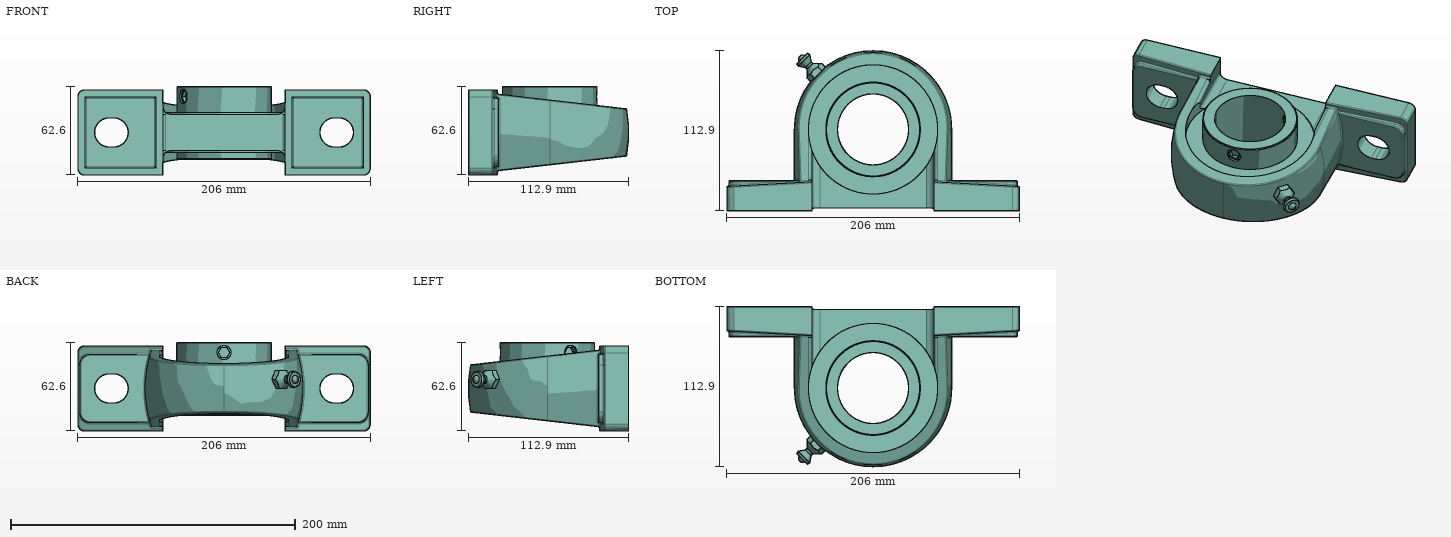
import cadquery as cq
import math

length = 206.0
axis_height = 57.3

foot_width = 60.2
foot_inner = 43.0
foot_outer = length / 2
foot_tip_height = 17.0
foot_root_height = 20.4
foot_corner_radius = 5.0
foot_edge_fillet = 0.8
foot_wall = 5.0
recess_depth = 8.2
recess_fillet = 1.0
bolt_offset = 79.3
bolt_slot_length = 23.5
bolt_slot_width = 20.4
pad_top = 21.2
pad_tip_gap = 1.5
pad_width = 48.2
pad_corner_radius = 7.5

crown_radius = 55.6
crown_arc = 86.5
top_half_width = 16.5
side_slope = math.radians(6.5)
rim_edge_fillet = 0.8
rim_foot_fillet = 1.2
pad_joint_fillet = 1.0
web_half_width = 12.8
web_bottom = 1.9
web_foot_fillet = 1.6
cavity_radius = 45.5
cavity_floor_fillet = 5.5
cavity_rim_round = cavity_radius - foot_inner

seal_half_width = 14.0
ring_radius = 33.4
bore_radius = 25.0
ring_top = 32.5
ring_bottom = -19.0
ring_chamfer = 0.6

screw_diameter = 9.9
screw_height = 25.3
screw_sink = 1.6
screw_end_gap = 0.2
socket_flats = 7.0
socket_depth = 2.5
screw_angles = (90, 210)

nipple_angle = 135
nipple_height = 6.4
hex_flats = 12.8
nipple_root = 49.5
hex_shoulder = 58.3
neck_radius = 2.99
neck_start = 62.8
neck_end = 64.5
flange_start = 68.8
flange_radius = 5.87
face_start = 70.7
face_radius = 5.4
dome_radius = 2.9
nipple_tip = 73.0

housing_top = axis_height + crown_radius
base_half_width = top_half_width + housing_top * math.tan(side_slope)
diagonal = math.sqrt(0.5)


def box(x_range, y_range, z_range):
    """Box spanning the given coordinate ranges."""
    starts, ends = zip(x_range, y_range, z_range)
    size = [end - start for start, end in zip(starts, ends)]
    return cq.Workplane("XY").box(*size, centered=False).translate(starts)


def symmetric(half_size):
    return (-half_size, half_size)


def crown_profile():
    """Half section of the crowned outer surface, from the axis out to the crown."""
    edge_drop = crown_arc - math.sqrt(crown_arc**2 - base_half_width**2)
    edge_radius = crown_radius - edge_drop
    return (
        cq.Workplane("XZ")
        .moveTo(0, -base_half_width)
        .lineTo(edge_radius, -base_half_width)
        .threePointArc((crown_radius, 0), (edge_radius, base_half_width))
        .lineTo(0, base_half_width)
        .close()
    )


def make_housing():
    """Arched body with a crowned rim, tapering in width towards the top."""
    above_axis = box(symmetric(length), (axis_height, length), symmetric(length))
    arch = crown_profile().revolve(360, (0, 0), (0, 1)).translate((0, axis_height, 0))
    leg = crown_profile().extrude(web_bottom - axis_height).translate((0, web_bottom, 0))
    taper = (
        cq.Workplane("YZ")
        .moveTo(0, -base_half_width)
        .lineTo(housing_top, -top_half_width)
        .lineTo(housing_top, top_half_width)
        .lineTo(0, base_half_width)
        .close()
        .extrude(length, both=True)
    )
    body = arch.intersect(above_axis).union(leg).union(leg.mirror("YZ")).intersect(taper)
    rim_edges = body.clean().faces(">Z or <Z").edges("not(<Y)")
    return rim_edges.fillet(rim_edge_fillet)


def make_straight_cavity():
    """Cavity in the +Z side from the base up to the bearing axis, flush with the foot walls."""
    return (
        box(symmetric(foot_inner), (0, axis_height), (web_half_width, foot_width))
        .edges("|Y and <Z")
        .fillet(cavity_floor_fillet)
    )


def make_cavity_rim_round():
    """Cutter rounding the upper edge of the right cavity wall above the foot."""
    start_height = foot_root_height + rim_foot_fillet
    half_width = base_half_width - start_height * math.tan(side_slope)
    plane = cq.Plane(
        origin=(foot_inner, start_height, half_width),
        xDir=(1, 0, 0),
        normal=(0, math.cos(side_slope), -math.sin(side_slope)),
    )
    radius = cavity_rim_round
    inset = radius * (1 - diagonal)
    return (
        cq.Workplane(plane)
        .lineTo(radius, 0)
        .threePointArc((inset, inset), (0, radius))
        .close()
        .extrude((axis_height - start_height) / math.cos(side_slope))
    )


def make_foot():
    """Right foot block with a sloping top."""
    return (
        cq.Workplane("XY", origin=(0, 0, -foot_width / 2))
        .moveTo(foot_inner, 0)
        .lineTo(foot_outer, 0)
        .lineTo(foot_outer, foot_tip_height)
        .lineTo(foot_inner, foot_root_height)
        .close()
        .extrude(foot_width)
        .edges(">X and |Y")
        .fillet(foot_corner_radius)
        .faces(">Y")
        .edges("not(<X)")
        .fillet(foot_edge_fillet)
    )


def make_pad():
    """Raised level pad on top of the right foot."""
    return (
        box((foot_inner, foot_outer - pad_tip_gap), (recess_depth, pad_top), symmetric(pad_width / 2))
        .edges(">X and |Y")
        .fillet(pad_corner_radius)
        .faces(">Y")
        .edges("not(<X)")
        .fillet(foot_edge_fillet)
    )


def make_foot_openings():
    """Recess under the right foot and the bolt slot through it."""
    recess = (
        box(
            (foot_inner + foot_wall, foot_outer - foot_wall),
            (0, recess_depth),
            symmetric(foot_width / 2 - foot_wall),
        )
        .faces(">Y")
        .edges()
        .fillet(recess_fillet)
    )
    bolt_slot = (
        cq.Workplane("XZ", origin=(bolt_offset, 0, 0))
        .slot2D(bolt_slot_length, bolt_slot_width)
        .extrude(-pad_top)
    )
    return recess.union(bolt_slot)


def make_web_blend():
    """Concave blend between the web underside and the inner face of the right foot."""
    radius = web_foot_fillet
    inset = radius * (1 - diagonal)
    return (
        cq.Workplane("XY", origin=(foot_inner, web_bottom, -web_half_width))
        .lineTo(-radius, 0)
        .threePointArc((-inset, -inset), (0, -radius))
        .close()
        .extrude(2 * web_half_width)
    )


def fillet_rim_to_foot(body):
    """Fillet where the outer rim meets the sloping top of the right foot."""
    joint = box(
        (foot_inner + rim_edge_fillet, crown_radius),
        (foot_tip_height, foot_root_height),
        symmetric(base_half_width),
    )
    edges = body.edges().filter(lambda edge: joint.val().isInside(edge.Center()))
    return edges.fillet(rim_foot_fillet)


def fillet_rim_to_pad(body):
    """Fillet where the outer rim meets the flat top of the right pad."""
    pad_face = body.faces(cq.selectors.NearestToPointSelector((bolt_offset, pad_top, pad_width / 2)))
    return pad_face.edges("<X").fillet(pad_joint_fillet)


def make_casting():
    """Housing and feet, worked out on the right half and mirrored."""
    straight_cavity = make_straight_cavity()
    rim_round = make_cavity_rim_round()
    round_cavity = (
        cq.Workplane("XY", origin=(0, axis_height, web_half_width))
        .circle(cavity_radius)
        .extrude(foot_width)
    )
    body = make_housing().cut(straight_cavity).cut(straight_cavity.mirror("XY"))
    body = fillet_rim_to_foot(body.union(make_foot()))
    body = fillet_rim_to_pad(body.union(make_pad()))
    for cutter in (rim_round, round_cavity):
        body = body.cut(cutter).cut(cutter.mirror("XY"))
    body = body.cut(make_foot_openings()).union(make_web_blend())
    right_half = body.intersect(box((0, length), (0, length), symmetric(length)))
    return right_half.union(right_half.mirror("YZ"))


def make_insert():
    """Seal disc and extended inner ring of the bearing."""
    seal = cq.Workplane("XY").circle(cavity_radius).extrude(seal_half_width, both=True)
    ring = (
        cq.Workplane("XY", origin=(0, 0, ring_bottom))
        .circle(ring_radius)
        .extrude(ring_top - ring_bottom)
        .edges()
        .chamfer(ring_chamfer)
    )
    return seal.union(ring).translate((0, axis_height, 0))


def radial_plane(angle, height, radius):
    """Plane facing outwards from the bearing axis at the given angle."""
    direction = cq.Vector(math.cos(math.radians(angle)), math.sin(math.radians(angle)), 0)
    origin = cq.Vector(0, axis_height, height) + direction * radius
    return cq.Plane(origin=origin.toTuple(), xDir=(0, 0, 1), normal=direction.toTuple())


def make_screw_cut(angle):
    """Space around a set screw: sunk head, hexagon socket and flat end at the bore."""
    head_radius = ring_radius - screw_sink
    end_radius = bore_radius + screw_end_gap
    head = (
        cq.Workplane(radial_plane(angle, screw_height, head_radius))
        .circle(screw_diameter / 2)
        .extrude(2 * screw_sink)
    )
    socket = (
        cq.Workplane(radial_plane(angle, screw_height, head_radius - socket_depth))
        .polygon(6, socket_flats, circumscribed=True)
        .extrude(2 * socket_depth)
    )
    end = (
        cq.Workplane(radial_plane(angle, screw_height, 0))
        .circle(screw_diameter / 2)
        .extrude(end_radius)
    )
    return head.union(socket).union(end)


def make_nipple():
    """Grease nipple: hexagon, cone, neck and flanged domed head."""
    hex_corner_radius = hex_flats / math.sqrt(3)
    dome_mid = (dome_radius * diagonal, face_start + (nipple_tip - face_start) * diagonal)
    turned = (
        cq.Workplane("XY")
        .moveTo(0, nipple_root)
        .lineTo(hex_corner_radius, nipple_root)
        .lineTo(hex_corner_radius, hex_shoulder)
        .lineTo(neck_radius, neck_start)
        .lineTo(neck_radius, neck_end)
        .lineTo(flange_radius, flange_start)
        .lineTo(face_radius, face_start)
        .lineTo(dome_radius, face_start)
        .threePointArc(dome_mid, (0, nipple_tip))
        .close()
        .revolve(360, (0, 0), (0, 1))
        .rotate((0, 0, 0), (0, 0, 1), nipple_angle - 90)
        .translate((0, axis_height, nipple_height))
    )
    hexagon = (
        cq.Workplane(radial_plane(nipple_angle, nipple_height, nipple_root))
        .polygon(6, hex_flats, circumscribed=True)
        .extrude(nipple_tip - nipple_root)
    )
    return turned.intersect(hexagon)


bore = cq.Workplane("XY", origin=(0, axis_height, 0)).circle(bore_radius).extrude(length, both=True)

result = make_casting().union(make_insert()).union(make_nipple()).cut(bore)
for angle in screw_angles:
    result = result.cut(make_screw_cut(angle))